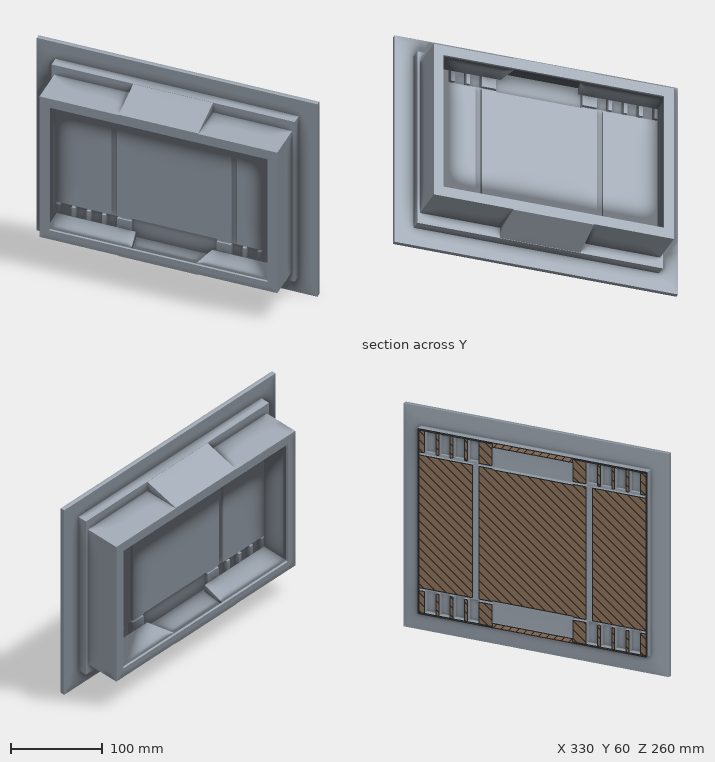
import cadquery as cq
import math


flange_width = 330.0
flange_height = 260.0
flange_thickness = 5.3
step_width = 285.8
step_height = 215.8
step_depth = 11.5
box_width = 279.5
box_height = 189.8
box_depth = 43.2
wall = 2.0
lip_thickness = 2.5
step_plate = 2.3
opening_width = 256.7
opening_height = 165.5

bulge_width = 93.7
bulge_height = 215.0
bulge_angle = 15.6
recess_side_angle = 13.0
recess_floor_angle = 10.0
recess_reach = 102.3

panel_width = 134.0
panel_height = 155.0
groove_depth = 3.5
upright_groove_width = 7.3
level_groove_width = 3.0
slot_width = 13.5
slot_pitch = 17.8
slot_depth = 7.5
slots_per_side = 4

flap_width = 98.5
flap_gap = 1.0
flap_setback = 4.0

step_y = -flange_thickness - step_depth
front_y = step_y - box_depth
lip_y = front_y + lip_thickness
lid_y = step_y + step_plate
flap_y = lid_y + flap_setback

cavity_width = box_width - 2 * wall
cavity_height = box_height - 2 * wall
lid_width = step_width - 2 * wall
lid_height = step_height - 2 * wall

rail_start = panel_height / 2 + level_groove_width
rail_height = lid_height / 2 - rail_start

flap_start = panel_height / 2
notch_start = flap_start - flap_gap
notch_width = flap_width + 2 * flap_gap
flap_end = recess_reach + flap_setback * math.tan(math.radians(recess_floor_angle))


def block(width, height, y_start, y_end, x=0, z=0):
    """A box centred on x and z that runs from y_start to y_end."""
    depth = y_end - y_start
    return cq.Workplane("XY").box(width, depth, height).translate((x, y_start + depth / 2, z))


def band(width, z_start, z_end, y_start, y_end):
    """A box centred on X = 0 that spans z_start to z_end and y_start to y_end."""
    return block(width, z_end - z_start, y_start, y_end, z=(z_start + z_end) / 2)


def bulge():
    """The upper wedge on the outside of the box, falling toward the front."""
    front_z = bulge_height / 2 - box_depth * math.tan(math.radians(bulge_angle))
    return (
        cq.Workplane("YZ")
        .polyline([(step_y, 0), (step_y, bulge_height / 2), (front_y, front_z), (front_y, 0)])
        .close()
        .extrude(bulge_width / 2, both=True)
    )


def recess():
    """The upper tapered hollow inside the bulge, from the front lip to the lid face."""
    depth = lid_y - lip_y
    back_half_width = bulge_width / 2 - wall
    front_half_width = back_half_width - depth * math.tan(math.radians(recess_side_angle))
    front_reach = recess_reach - depth * math.tan(math.radians(recess_floor_angle))

    plan = [
        (-front_half_width, lip_y),
        (front_half_width, lip_y),
        (back_half_width, lid_y),
        (-back_half_width, lid_y),
    ]
    side = [(lip_y, 0), (lip_y, front_reach), (lid_y, recess_reach), (lid_y, 0)]
    tapered_plan = cq.Workplane("XY").polyline(plan).close().extrude(step_height / 2)
    sloped_side = cq.Workplane("YZ").polyline(side).close().extrude(bulge_width, both=True)
    return tapered_plan.intersect(sloped_side)


def sill():
    """The upper sill that carries the recess floor on to the flap and holds the end of the flap."""
    profile = [
        (lid_y, lid_height / 2),
        (lid_y, recess_reach),
        (flap_y, flap_end),
        (0, flap_end),
        (0, lid_height / 2),
    ]
    return cq.Workplane("YZ").polyline(profile).close().extrude(notch_width / 2, both=True)


def make_housing():
    """Flange, step and box in one piece, open from the front lip to the flange back."""
    body = block(flange_width, flange_height, -flange_thickness, 0)
    body = body.union(block(step_width, step_height, step_y, -flange_thickness))
    body = body.union(block(box_width, box_height, front_y, step_y))
    for wedge in (bulge(), bulge().mirror("XY")):
        body = body.union(wedge)

    body = body.cut(block(opening_width, opening_height, front_y, lip_y))
    body = body.cut(block(cavity_width, cavity_height, lip_y, lid_y))
    body = body.cut(block(lid_width, lid_height, lid_y, 0))
    for hollow in (recess(), recess().mirror("XY")):
        body = body.cut(hollow)
    for ledge in (sill(), sill().mirror("XY")):
        body = body.union(ledge)
    return body


def make_lid():
    """A plate with three raised panels, slotted rails and a notch for each flap."""
    lid = block(lid_width, lid_height, lid_y, 0)

    groove_y = lid_y + groove_depth
    upright_x = (panel_width + upright_groove_width) / 2
    for side in (-1, 1):
        lid = lid.cut(block(upright_groove_width, panel_height, lid_y, groove_y, side * upright_x))

    notch = band(notch_width, notch_start, lid_height / 2, lid_y, 0)
    level_groove = band(lid_width, panel_height / 2, rail_start, lid_y, groove_y)
    for cutter in (notch, level_groove):
        lid = lid.cut(cutter).cut(cutter.mirror("XY"))

    slot_z = rail_start + rail_height / 2
    for index in range(slots_per_side):
        slot_x = panel_width / 2 + slot_width / 2 + index * slot_pitch
        for x in (-slot_x, slot_x):
            for z in (-slot_z, slot_z):
                lid = lid.cut(block(slot_width, rail_height, lid_y, lid_y + slot_depth, x, z))
    return lid


def make_flap(end):
    """The flap at the top (end = 1) or at the bottom (end = -1)."""
    upper = band(flap_width, flap_start, flap_end, flap_y, 0)
    return upper if end > 0 else upper.mirror("XY")


housing = make_housing()
lid = make_lid()
flaps = [make_flap(end) for end in (-1, 1)]

result = cq.Compound.makeCompound([housing.val(), lid.val(), *[flap.val() for flap in flaps]])